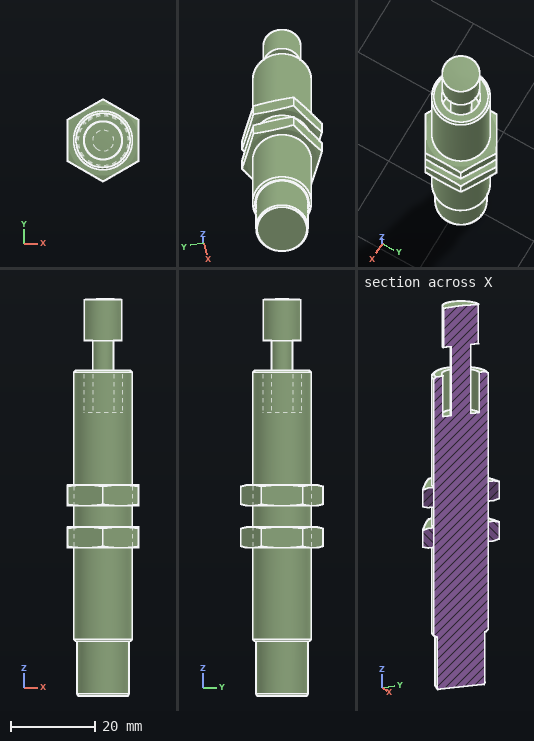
import cadquery as cq
import math

OVERALL_HEIGHT = 94.55

BODY_DIAMETER = 14.0
BODY_TOP = 77.55
BODY_CHAMFER = 0.54
TAIL_DIAMETER = 12.4
TAIL_LENGTH = 13.0
TAIL_CHAMFER_RADIAL = 0.3
TAIL_CHAMFER_HEIGHT = 0.5

ROD_DIAMETER = 5.0
HEAD_DIAMETER = 9.0
HEAD_LENGTH = 10.0
HEAD_DOME_RADIUS = 50.0
BORE_DIAMETER = 9.2
BORE_DEPTH = HEAD_LENGTH

HEX_SIDES = 6
NUT_ACROSS_FLATS = 17.0
NUT_THICKNESS = 5.0
NUT_PITCH = 10.0
NUT_COUNT = 2
LOWER_NUT_BOTTOM = 35.25
NUT_FACE_DIAMETER = 16.8
NUT_CHAMFER_ANGLE = 15.0


def dome_drop(radius):
    """How far the domed head lies below its crown at a given radius."""
    return HEAD_DOME_RADIUS - math.sqrt(HEAD_DOME_RADIUS**2 - radius**2)


def make_damper():
    """Body, rod and head as one turned profile (radius, height)."""
    body_radius = BODY_DIAMETER / 2
    tail_radius = TAIL_DIAMETER / 2
    rod_radius = ROD_DIAMETER / 2
    head_radius = HEAD_DIAMETER / 2
    bore_radius = BORE_DIAMETER / 2
    bore_floor = BODY_TOP - BORE_DEPTH
    head_bottom = OVERALL_HEIGHT - HEAD_LENGTH
    head_edge = OVERALL_HEIGHT - dome_drop(head_radius)
    dome_middle_radius = head_radius / 2
    dome_middle_height = OVERALL_HEIGHT - dome_drop(dome_middle_radius)

    profile = (
        cq.Workplane("XZ")
        .lineTo(tail_radius - TAIL_CHAMFER_RADIAL, 0)
        .lineTo(tail_radius, TAIL_CHAMFER_HEIGHT)
        .lineTo(tail_radius, TAIL_LENGTH)
        .lineTo(body_radius - BODY_CHAMFER, TAIL_LENGTH)
        .lineTo(body_radius, TAIL_LENGTH + BODY_CHAMFER)
        .lineTo(body_radius, BODY_TOP - BODY_CHAMFER)
        .lineTo(body_radius - BODY_CHAMFER, BODY_TOP)
        .lineTo(bore_radius, BODY_TOP)
        .lineTo(bore_radius, bore_floor)
        .lineTo(rod_radius, bore_floor)
        .lineTo(rod_radius, head_bottom)
        .lineTo(head_radius, head_bottom)
        .lineTo(head_radius, head_edge)
        .threePointArc((dome_middle_radius, dome_middle_height), (0, OVERALL_HEIGHT))
        .close()
    )
    return profile.revolve(360, (0, 0), (0, 1))


def make_nut(bottom):
    """Hexagon nut with two flats facing +X and -X, chamfered on both faces."""
    half_side_angle = 180 / HEX_SIDES
    corner_radius = NUT_ACROSS_FLATS / 2 / math.cos(math.radians(half_side_angle))
    face_radius = NUT_FACE_DIAMETER / 2
    chamfer_height = (corner_radius - face_radius) * math.tan(math.radians(NUT_CHAMFER_ANGLE))

    hexagon = (
        cq.Workplane("XY")
        .polygon(HEX_SIDES, 2 * corner_radius)
        .extrude(NUT_THICKNESS)
        .rotate((0, 0, 0), (0, 0, 1), half_side_angle)
    )
    chamfered_blank = (
        cq.Workplane("XZ")
        .lineTo(face_radius, 0)
        .lineTo(corner_radius, chamfer_height)
        .lineTo(corner_radius, NUT_THICKNESS - chamfer_height)
        .lineTo(face_radius, NUT_THICKNESS)
        .lineTo(0, NUT_THICKNESS)
        .close()
        .revolve(360, (0, 0), (0, 1))
    )
    hole = cq.Workplane("XY").circle(BODY_DIAMETER / 2).extrude(NUT_THICKNESS)
    return hexagon.intersect(chamfered_blank).cut(hole).translate((0, 0, bottom))


damper = make_damper()
nuts = [make_nut(LOWER_NUT_BOTTOM + index * NUT_PITCH) for index in range(NUT_COUNT)]

result = cq.Compound.makeCompound([damper.val(), *[nut.val() for nut in nuts]])